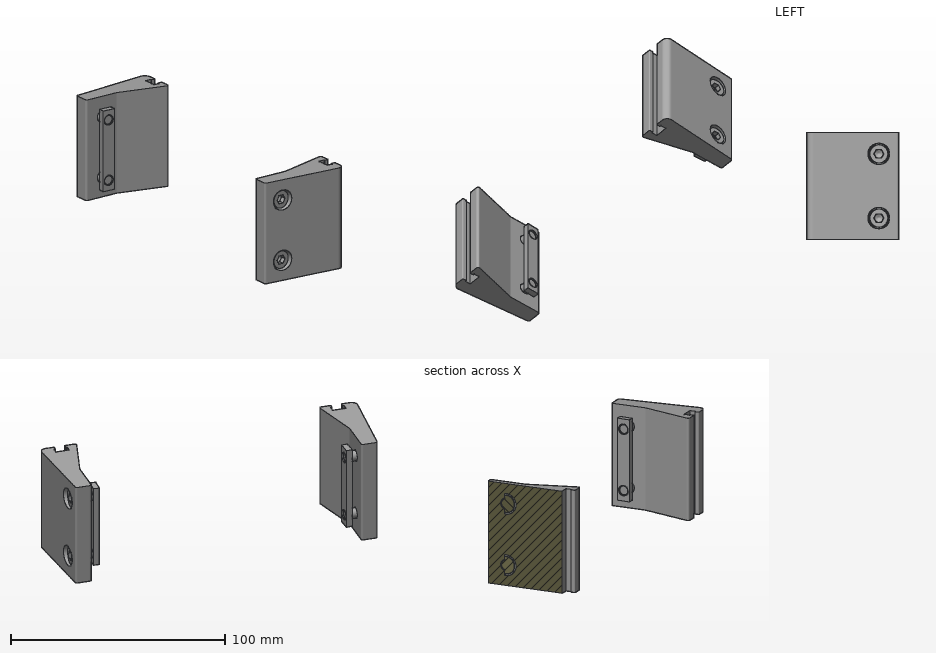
import cadquery as cq
import math

overall_width = 155.3
jaw_depth = 43.0
jaw_height = 50.0
jaw_width = 17.9
outer_draft = math.radians(5)
inner_draft = math.radians(15)
outer_nose_radius = 3.0
small_radius = 1.0
foot_width = 11.3

slot_center = 9.6
slot_width = 6.5
slot_mouth = 5.1
slot_depth = 5.0
lip_thickness = 2.0
lip_radius = 0.5

screw_lean = 2.8
screw_spacing = 30.0
screw_offset = 9.5
head_recess = 1.1
head_diameter = 8.5
head_length = 5.0
counterbore_diameter = 10.0
shank_diameter = 5.0
shank_tip_diameter = 4.2
clearance_diameter = 5.5
shank_length = 7.9
socket_across_flats = 4.0
socket_depth = 2.5
socket_cone_depth = 1.1

bar_length = 40.0
bar_depth = 6.4
bar_thickness = 3.0
tip_recess = 0.5

outer_x = -overall_width / 2
front_y = -jaw_depth / 2
back_y = jaw_depth / 2
foot_x = outer_x + foot_width
back_outer_x = outer_x + outer_nose_radius * (1 - (1 + math.sin(outer_draft)) / math.cos(outer_draft))
back_inner_x = outer_x + jaw_width - small_radius * (
    1 - (1 + math.sin(inner_draft)) / math.cos(inner_draft)
)
front_outer_x = back_outer_x + jaw_depth * math.tan(outer_draft)
knee_y = back_y - (back_inner_x - foot_x) / math.tan(inner_draft)
slot_x = outer_x + slot_center

screw_y = front_y + screw_offset
screw_face_x = front_outer_x - screw_offset * math.tan(outer_draft)
seat_depth = head_recess + head_length
tip_depth = seat_depth + shank_length
bar_face_depth = tip_depth + tip_recess
screw_heights = [-screw_spacing / 2, screw_spacing / 2]


def screw_plane(height):
    """Plane across a screw axis where it meets the outer face; its normal points into the jaw."""
    lean = math.radians(screw_lean)
    return cq.Plane(
        origin=(screw_face_x, screw_y, height),
        xDir=(math.sin(lean), math.cos(lean), 0),
        normal=(math.cos(lean), -math.sin(lean), 0),
    )


def cylinder(height, diameter, start, end):
    """Cylinder on a screw axis between two depths measured from the outer face."""
    plane = cq.Workplane(screw_plane(height)).workplane(offset=start)
    return plane.circle(diameter / 2).extrude(end - start)


def slot_cutter():
    """Undercut T-slot running the full height of a jaw."""
    base = cq.Workplane("XY").workplane(offset=-jaw_height / 2)
    undercut_depth = slot_depth - lip_thickness
    undercut = (
        base.center(slot_x, back_y - lip_thickness - undercut_depth / 2)
        .rect(slot_width, undercut_depth)
        .extrude(jaw_height)
    )
    mouth = (
        base.center(slot_x, back_y - lip_thickness / 2)
        .rect(slot_mouth, lip_thickness)
        .extrude(jaw_height)
    )
    return undercut.union(mouth)


def round_upright_edges(body, places, radius):
    """Fillet the vertical edges that stand at the given (x, y) places."""
    for x, y in places:
        body = body.edges(cq.selectors.NearestToPointSelector((x, y, 0))).fillet(radius)
    return body


def make_jaw():
    jaw = (
        cq.Workplane("XY")
        .workplane(offset=-jaw_height / 2)
        .polyline([
            (front_outer_x, front_y),
            (foot_x, front_y),
            (foot_x, knee_y),
            (back_inner_x, back_y),
            (back_outer_x, back_y),
        ])
        .close()
        .extrude(jaw_height)
    )
    jaw = round_upright_edges(jaw, [(back_outer_x, back_y)], outer_nose_radius)
    sharp_corners = [(front_outer_x, front_y), (foot_x, front_y), (back_inner_x, back_y)]
    jaw = round_upright_edges(jaw, sharp_corners, small_radius)
    jaw = jaw.cut(slot_cutter())
    lip_corners = [(slot_x + side * slot_mouth / 2, back_y) for side in (-1, 1)]
    jaw = round_upright_edges(jaw, lip_corners, lip_radius)

    for height in screw_heights:
        jaw = jaw.cut(cylinder(height, counterbore_diameter, -head_recess, seat_depth))
        jaw = jaw.cut(cylinder(height, clearance_diameter, seat_depth, tip_depth))
    return jaw


def make_bar():
    bar = (
        cq.Workplane(screw_plane(0))
        .workplane(offset=bar_face_depth - bar_thickness)
        .rect(bar_depth, bar_length)
        .extrude(bar_thickness)
    )
    for height in screw_heights:
        bar = bar.cut(cylinder(height, shank_diameter, seat_depth, bar_face_depth))
    return bar


def make_screw(height):
    """Socket-head screw with a chamfered tip and a conical socket floor."""
    head = cylinder(height, head_diameter, head_recess, seat_depth)
    shank = cylinder(height, shank_diameter, seat_depth, tip_depth)
    axis = screw_plane(height)
    tip_face = cq.selectors.DirectionMinMaxSelector(axis.zDir, True)
    shank = shank.faces(tip_face).chamfer((shank_diameter - shank_tip_diameter) / 2)
    socket = (
        cq.Workplane(axis)
        .workplane(offset=head_recess)
        .transformed(rotate=(0, 0, 30))
        .polygon(6, socket_across_flats, circumscribed=True)
        .extrude(socket_depth)
    )
    floor = cq.Workplane(cq.Solid.makeCone(
        socket_across_flats / 2, 0, socket_cone_depth,
        pnt=axis.toWorldCoords((0, 0, head_recess + socket_depth)), dir=axis.zDir,
    ))
    return head.union(shank).cut(socket).cut(floor)


left_bodies = [make_jaw(), make_bar()] + [make_screw(height) for height in screw_heights]
right_bodies = [body.mirror("YZ") for body in left_bodies]
result = cq.Compound.makeCompound([body.val() for body in left_bodies + right_bodies])